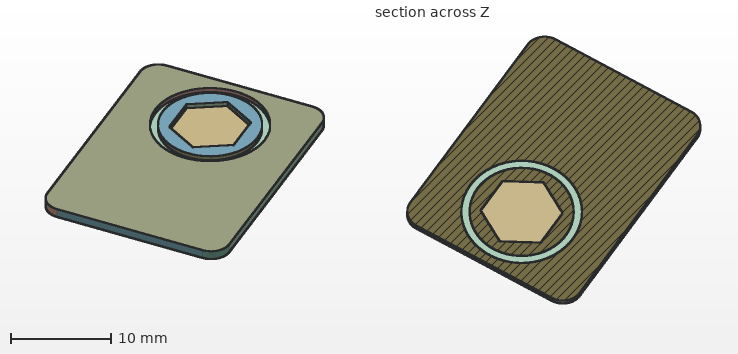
import cadquery as cq

plate_length = 26.0
plate_width = 20.0
plate_thickness = 1.0
corner_radius = 2.0

symbol_center_y = 6.0
ring_outer_diameter = 12.0
ring_inner_diameter = 10.4
hex_across_corners = 8.16
engraving_depth = plate_thickness / 2
engraving_floor = plate_thickness - engraving_depth


def make_plate():
    """Flat plate with rounded vertical corners."""
    plate = cq.Workplane("XY").rect(plate_width, plate_length).extrude(plate_thickness)
    return plate.edges("|Z").fillet(corner_radius)


def symbol_plane():
    """Sketch plane on the engraving floor, centred on the symbol."""
    return cq.Workplane("XY", origin=(0, symbol_center_y, engraving_floor))


def make_ring_groove():
    """Circular groove that outlines the screw head."""
    outline = symbol_plane().circle(ring_outer_diameter / 2).circle(ring_inner_diameter / 2)
    return outline.extrude(engraving_depth)


def make_hex_pocket():
    """Hexagonal socket with one corner pointing along +Y."""
    hexagon = symbol_plane().transformed(rotate=(0, 0, 90)).polygon(6, hex_across_corners)
    return hexagon.extrude(engraving_depth)


result = make_plate().cut(make_ring_groove()).cut(make_hex_pocket())